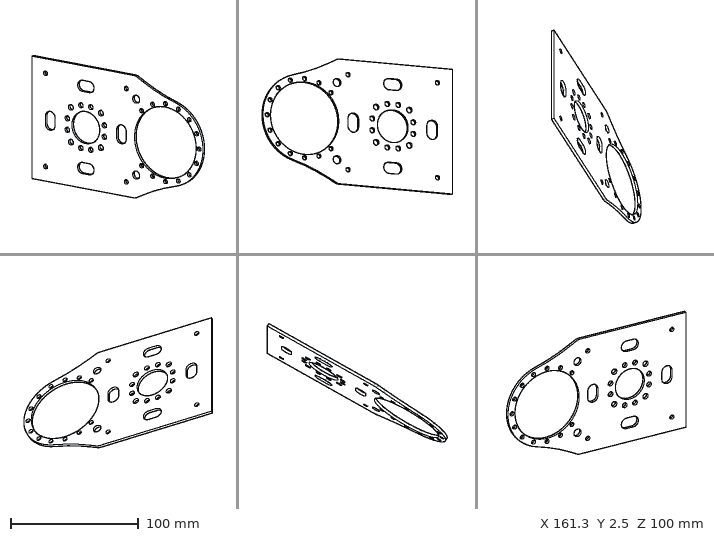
import cadquery as cq
import math

length = 161.3
height = 100.0
thickness = 2.5
ring_outer_radius = 35.5
ring_x = length - ring_outer_radius
neck_radius = 150.0
neck_ring_angle = 15.3
neck_taper_angle = 27.7
shoulder_radius = 6.0

ring_bore_diameter = 58.0
ring_hole_circle_radius = 31.8
ring_hole_diameter = 3.4
ring_hole_pitch = 22.5
ring_holes_each_side = 6

mount_x = 50.8
mount_bore_diameter = 26.1
mount_hole_circle_radius = 18.0
mount_hole_diameter = 4.0
mount_hole_half_angle = 15.0
diagonal_circle_radius = 20.0
diagonal_hole_diameter = 4.5
slot_offset = 33.5
slot_length = 15.3
slot_width = 9.0
corner_hole_offset = 38.0
corner_hole_diameter = 3.5

shoulder_hole_x = 98.2
shoulder_hole_z = 31.0
shoulder_hole_diameter = 6.5


def polar_point(center_x, radius, degrees):
    angle = math.radians(degrees)
    return (center_x + radius * math.cos(angle), radius * math.sin(angle))


def mirrored(point):
    return (point[0], -point[1])


def make_plate():
    """Extrude the rectangular plate that necks down to the round ring."""
    center_distance = ring_outer_radius + neck_radius
    neck_center_x, neck_center_z = polar_point(ring_x, center_distance, 90 - neck_ring_angle)

    def neck_point(slope):
        x, z = polar_point(neck_center_x, neck_radius, -90 - slope)
        return (x, neck_center_z + z)

    neck_end = neck_point(neck_ring_angle)
    neck_middle = neck_point((neck_ring_angle + neck_taper_angle) / 2)
    neck_start = neck_point(neck_taper_angle)
    taper_drop = height / 2 - neck_start[1]
    shoulder_x = neck_start[0] - taper_drop / math.tan(math.radians(neck_taper_angle))
    shoulder = (shoulder_x, height / 2)

    plate = (
        cq.Workplane("XZ")
        .moveTo(0, -height / 2)
        .lineTo(0, height / 2)
        .lineTo(*shoulder)
        .lineTo(*neck_start)
        .threePointArc(neck_middle, neck_end)
        .threePointArc((length, 0), mirrored(neck_end))
        .threePointArc(mirrored(neck_middle), mirrored(neck_start))
        .lineTo(*mirrored(shoulder))
        .close()
        .extrude(-thickness)
    )
    shoulder_edges = plate.edges("|Y").edges(
        cq.selectors.BoxSelector(
            (shoulder_x - 1.6, -1.6, -height),
            (shoulder_x + 1.6, thickness + 1.6, height),
        )
    )
    return shoulder_edges.fillet(shoulder_radius)


def cut_holes(plate, points, diameter):
    cutter = cq.Workplane("XZ").pushPoints(points).circle(diameter / 2).extrude(-thickness)
    return plate.cut(cutter)


def cut_slots(plate):
    """Cut four slots around the mount, each tangential to its center."""
    for degrees in range(0, 360, 90):
        slot = (
            cq.Workplane("XZ")
            .pushPoints([polar_point(mount_x, slot_offset, degrees)])
            .slot2D(slot_length, slot_width, degrees + 90)
            .extrude(-thickness)
        )
        plate = plate.cut(slot)
    return plate


ring_points = [
    polar_point(ring_x, ring_hole_circle_radius, step * ring_hole_pitch)
    for step in range(-ring_holes_each_side, ring_holes_each_side + 1)
]
mount_points = [
    polar_point(mount_x, mount_hole_circle_radius, axis + side * mount_hole_half_angle)
    for axis in range(0, 360, 90)
    for side in (-1, 1)
]
diagonal_points = [
    polar_point(mount_x, diagonal_circle_radius, degrees) for degrees in range(45, 360, 90)
]
corner_points = [
    (mount_x + side_x * corner_hole_offset, side_z * corner_hole_offset)
    for side_x in (-1, 1)
    for side_z in (-1, 1)
]
shoulder_points = [(shoulder_hole_x, side * shoulder_hole_z) for side in (-1, 1)]

result = make_plate()
result = cut_holes(result, [(ring_x, 0)], ring_bore_diameter)
result = cut_holes(result, ring_points, ring_hole_diameter)
result = cut_holes(result, [(mount_x, 0)], mount_bore_diameter)
result = cut_holes(result, mount_points, mount_hole_diameter)
result = cut_holes(result, diagonal_points, diagonal_hole_diameter)
result = cut_slots(result)
result = cut_holes(result, corner_points, corner_hole_diameter)
result = cut_holes(result, shoulder_points, shoulder_hole_diameter)